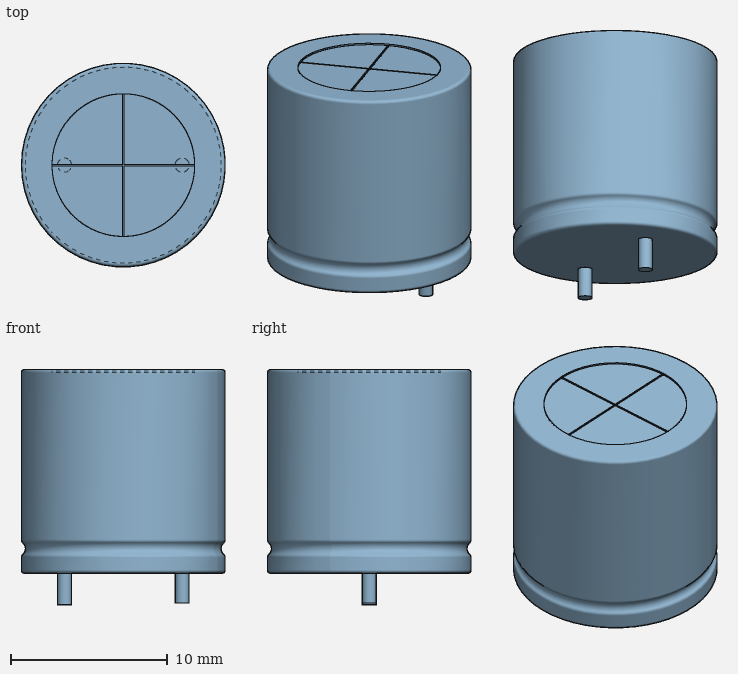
import cadquery as cq
import math


can_diameter = 13.0
can_height = 13.0
can_radius = can_diameter / 2
rim_fillet = 0.2

groove_height = 1.58
groove_radius = 0.5
groove_depth = 0.25
groove_blend = 0.25

recess_diameter = 9.1
recess_depth = 0.1

stripe_angle = 45.0

score_width = 0.1
score_depth = 0.1

pin_diameter = 0.9
pin_pitch = 7.5
long_pin = 2.0
short_pin = 1.9


def can_profile():
    """Half section of the can in the XZ plane, from the axis out to the wall."""
    corner = rim_fillet * (1 - math.sqrt(0.5))

    groove_centre = can_radius - groove_depth + groove_radius
    blend_centre = can_radius - groove_blend
    span = math.sqrt((groove_radius + groove_blend) ** 2 - (groove_centre - blend_centre) ** 2)

    share = groove_blend / (groove_radius + groove_blend)
    tangent_radius = blend_centre + share * (groove_centre - blend_centre)
    tangent_offset = span * (1 - share)

    half_turn = math.atan2(span, groove_centre - blend_centre) / 2
    middle_radius = blend_centre + groove_blend * math.cos(half_turn)
    middle_offset = span - groove_blend * math.sin(half_turn)

    return (
        cq.Workplane("XZ")
        .lineTo(can_radius - rim_fillet, 0)
        .threePointArc((can_radius - corner, corner), (can_radius, rim_fillet))
        .lineTo(can_radius, groove_height - span)
        .threePointArc(
            (middle_radius, groove_height - middle_offset),
            (tangent_radius, groove_height - tangent_offset),
        )
        .threePointArc(
            (can_radius - groove_depth, groove_height),
            (tangent_radius, groove_height + tangent_offset),
        )
        .threePointArc(
            (middle_radius, groove_height + middle_offset),
            (can_radius, groove_height + span),
        )
        .lineTo(can_radius, can_height - rim_fillet)
        .threePointArc(
            (can_radius - corner, can_height - corner),
            (can_radius - rim_fillet, can_height),
        )
        .lineTo(0, can_height)
        .close()
    )


def can_sector(angle, start):
    """Part of the can, turned through an angle about Z from a start angle."""
    sector = can_profile().revolve(angle, (0, 0, 0), (0, 1, 0))
    return sector.rotate((0, 0, 0), (0, 0, 1), start)


def can():
    """Whole can; the unmerged sectors keep the edges of the polarity stripe."""
    stripe = can_sector(stripe_angle, -stripe_angle / 2)
    rest = can_sector(360 - stripe_angle, stripe_angle / 2)
    return rest.union(stripe, clean=False)


def lid_recess():
    """Round recess with the two crossing score lines in its floor."""
    floor = can_height - recess_depth
    recess = cq.Workplane("XY", origin=(0, 0, floor)).circle(recess_diameter / 2).extrude(recess_depth)
    scores = cq.Workplane("XY", origin=(0, 0, floor - score_depth))
    for length, width in ((recess_diameter, score_width), (score_width, recess_diameter)):
        score = scores.rect(length, width).extrude(score_depth)
        recess = recess.union(score)
    return recess


def pin(x, length):
    """Pin hanging from the underside of the can."""
    return cq.Workplane("XY").center(x, 0).circle(pin_diameter / 2).extrude(-length)


result = can().cut(lid_recess(), clean=False)
for pin_x, pin_length in ((-pin_pitch / 2, long_pin), (pin_pitch / 2, short_pin)):
    result = result.union(pin(pin_x, pin_length), clean=False)